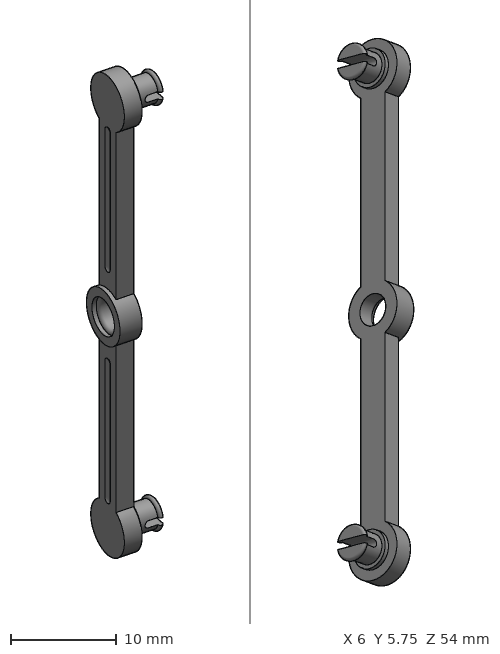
import cadquery as cq
import math

overall_length = 54.0
disc_diameter = 6.0
arm_width = 3.0
arm_depth = 2.0
end_offset = (overall_length - disc_diameter) / 2

hub_rise = 0.5
bore_diameter = 3.2
counterbore_diameter = 4.0
counterbore_depth = 0.5

collar_diameter = 3.9
collar_height = 0.5
pin_diameter = 3.1
pin_length = 3.25
lip_diameter = 3.6
lip_height = 0.55
pin_slot_width = 0.8
pin_slot_depth = 2.0

groove_diameter = 1.2
groove_depth = 0.2
groove_start = 5.35
groove_end = 20.75


def cylinder(diameter, start_y, end_y, z=0):
    """Cylinder along Y between two Y positions."""
    return (
        cq.Workplane("XZ", origin=(0, start_y, z))
        .circle(diameter / 2)
        .extrude(start_y - end_y)
    )


def make_body():
    arm = cq.Workplane("XY").box(arm_width, arm_depth, 2 * end_offset, centered=(True, False, True))
    body = arm.union(cylinder(disc_diameter, -hub_rise, arm_depth))
    for z in (-end_offset, end_offset):
        body = body.union(cylinder(disc_diameter, 0, arm_depth, z))
    return body


def make_hub_hole():
    """Counterbored through hole with a rounded shoulder, revolved about Y."""
    front = -hub_rise
    shoulder = front + counterbore_depth
    bore_radius = bore_diameter / 2
    shoulder_radius = (counterbore_diameter - bore_diameter) / 2
    arc_offset = shoulder_radius * (1 - math.sqrt(0.5))
    return (
        cq.Workplane("XY")
        .moveTo(0, front)
        .lineTo(counterbore_diameter / 2, front)
        .lineTo(counterbore_diameter / 2, shoulder)
        .threePointArc(
            (bore_radius + arc_offset, shoulder + arc_offset),
            (bore_radius, shoulder + shoulder_radius),
        )
        .lineTo(bore_radius, arm_depth)
        .lineTo(0, arm_depth)
        .close()
        .revolve(360, (0, 0, 0), (0, 1, 0))
    )


def make_pin():
    """Collared pin with a rounded lip, split by a round-bottomed slot along X."""
    tip = arm_depth + pin_length
    collar_top = arm_depth + collar_height
    lip_start = tip - lip_height
    pin = (
        cq.Workplane("XY")
        .moveTo(0, arm_depth)
        .lineTo(collar_diameter / 2, arm_depth)
        .lineTo(collar_diameter / 2, collar_top)
        .lineTo(pin_diameter / 2, collar_top)
        .lineTo(pin_diameter / 2, lip_start)
        .threePointArc((lip_diameter / 2, tip - lip_height / 2), (pin_diameter / 2, tip))
        .lineTo(0, tip)
        .close()
        .revolve(360, (0, 0, 0), (0, 1, 0))
    )
    slot_end_center = tip - pin_slot_depth + pin_slot_width / 2
    slot = (
        cq.Workplane("YZ")
        .moveTo(tip, -pin_slot_width / 2)
        .lineTo(slot_end_center, -pin_slot_width / 2)
        .threePointArc((tip - pin_slot_depth, 0), (slot_end_center, pin_slot_width / 2))
        .lineTo(tip, pin_slot_width / 2)
        .close()
        .extrude(collar_diameter / 2, both=True)
    )
    return pin.cut(slot)


def make_groove():
    """Ball-ended cutter lying along Z, sunk into the front face by the groove depth."""
    radius = groove_diameter / 2
    axis_y = groove_depth - radius
    cutter = (
        cq.Workplane("XY", origin=(0, axis_y, groove_start))
        .circle(radius)
        .extrude(groove_end - groove_start)
    )
    for z in (groove_start, groove_end):
        cutter = cutter.union(cq.Workplane("XY", origin=(0, axis_y, z)).sphere(radius))
    return cutter


groove = make_groove()
pin = make_pin()
result = make_body().cut(make_hub_hole()).cut(groove).cut(groove.mirror("XY"))
for pin_z in (-end_offset, end_offset):
    result = result.union(pin.translate((0, 0, pin_z)))

total_depth = hub_rise + arm_depth + pin_length
result = result.translate((0, hub_rise - total_depth / 2, 0))